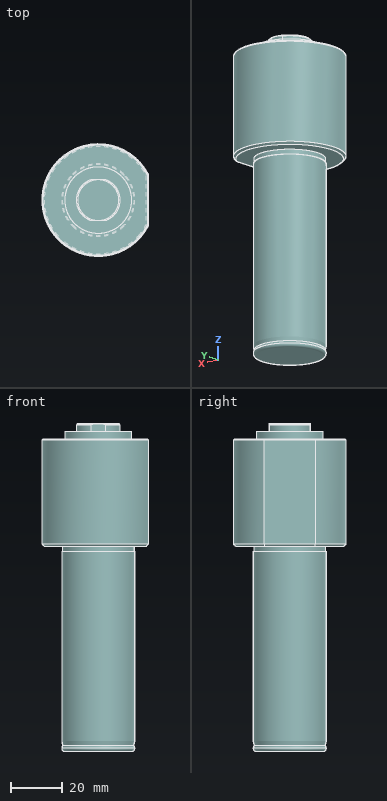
import cadquery as cq

shank_diameter = 28.5
shank_height = 78.0
foot_radius = 1.2

groove_bottom = 1.5
groove_height = 2.5
groove_root_height = 1.0
groove_depth = 0.33

neck_diameter = 28.1
neck_height = 2.0

head_diameter = 44.0
head_height = 42.0
head_flat_x = 19.62
head_bottom_chamfer = 1.0
head_top_chamfer = 0.5

collar_diameter = 26.0
collar_height = 3.0

cap_diameter = 17.0
cap_height = 3.0
cap_across_flats = 16.0
cap_chamfer = 0.5

head_base = shank_height + neck_height
collar_base = head_base + head_height
cap_base = collar_base + collar_height


def cylinder(diameter, height, base):
    return cq.Workplane("XY").workplane(offset=base).circle(diameter / 2).extrude(height)


def make_groove_cutter():
    """Ring of triangular section that cuts the V groove."""
    radius = shank_diameter / 2
    section = (
        cq.Workplane("XZ")
        .moveTo(radius, groove_bottom)
        .lineTo(radius, groove_bottom + groove_height)
        .lineTo(radius - groove_depth, groove_bottom + groove_root_height)
        .close()
    )
    return section.revolve(360, (0, 0, 0), (0, 1, 0))


def make_shank():
    shank = cylinder(shank_diameter, shank_height, 0).faces("<Z").edges().fillet(foot_radius)
    return shank.cut(make_groove_cutter())


def make_head():
    """Round head cut by a flat, with chamfered top and bottom rims."""
    radius = head_diameter / 2
    keep_width = radius + head_flat_x
    keep = (
        cq.Workplane("XY")
        .box(keep_width, head_diameter, head_height, centered=(False, True, False))
        .translate((-radius, 0, head_base))
    )
    head = cylinder(head_diameter, head_height, head_base).intersect(keep)
    head = head.faces("<Z").edges().chamfer(head_bottom_chamfer)
    return head.faces(">Z").edges().chamfer(head_top_chamfer)


def make_cap():
    """Round cap with a chamfered top rim and two opposite flats."""
    cap = cylinder(cap_diameter, cap_height, cap_base).faces(">Z").edges().chamfer(cap_chamfer)
    keep = (
        cq.Workplane("XY")
        .box(cap_diameter, cap_across_flats, cap_height, centered=(True, True, False))
        .translate((0, 0, cap_base))
    )
    return cap.intersect(keep)


neck = cylinder(neck_diameter, neck_height, shank_height)
collar = cylinder(collar_diameter, collar_height, collar_base)

result = make_shank().union(neck).union(make_head()).union(collar).union(make_cap())